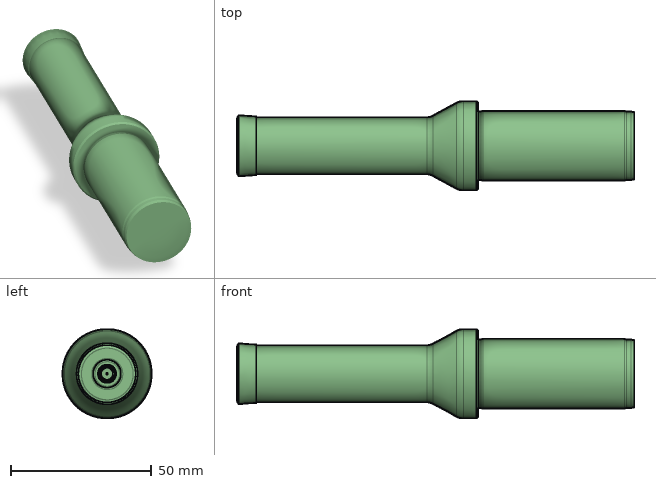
import cadquery as cq
import math

TOTAL_LENGTH = 142.0

HEAD_LENGTH = 7.0
HEAD_FACE_RADIUS = 9.2
HEAD_RIM_RADIUS = 10.2
HEAD_RIM_X = 0.3
HEAD_FRONT_RADIUS = 11.0
HEAD_FRONT_X = 0.9
HEAD_REAR_RADIUS = 10.5

GROOVE_OUTER_RADIUS = 5.5
GROOVE_INNER_RADIUS = 4.4
GROOVE_DEPTH = 0.1
RECESS_STEP_RADII = (3.3, 2.7, 2.1)
RECESS_STEP_DEPTH = 0.1
CENTRE_HOLE_RADIUS = 0.3
CENTRE_HOLE_DEPTH = 0.7

NECK_RADIUS = 20.5 / 2
FLARE_START = 67.9
FLARE_ANGLE = math.radians(28.5)
FLARE_BLEND_RADIUS = 4.5
COLLAR_RADIUS = 32.0 / 2
COLLAR_BLEND_RADIUS = 5.1
COLLAR_END = 86.2
COLLAR_CHAMFER = 0.5

RELIEF_RADIUS = 24.5 / 2
RELIEF_LENGTH = 1.0
RELIEF_TAPER_LENGTH = 0.7
SHANK_RADIUS = 25.0 / 2
SHANK_END = 138.3
TAIL_RADIUS = RELIEF_RADIUS
TAIL_STEP_LENGTH = 0.9
TAIL_CHAMFER_LENGTH = 1.3
TAIL_CHAMFER_DEPTH = 0.3


def turn(profile):
    """Revolve a closed (x, radius) profile in the XY plane about the X axis."""
    return profile.close().revolve(360, (0, 0, 0), (1, 0, 0))


def make_blank():
    """Head with a shallow front bevel, a lead chamfer and a slight back taper."""
    return turn(
        cq.Workplane("XY")
        .lineTo(0, HEAD_FACE_RADIUS)
        .lineTo(HEAD_RIM_X, HEAD_RIM_RADIUS)
        .lineTo(HEAD_FRONT_X, HEAD_FRONT_RADIUS)
        .lineTo(HEAD_LENGTH, HEAD_REAR_RADIUS)
        .lineTo(HEAD_LENGTH, 0)
    )


def make_groove():
    """V-shaped ring cutter."""
    return turn(
        cq.Workplane("XY")
        .moveTo(0, GROOVE_INNER_RADIUS)
        .lineTo(GROOVE_DEPTH, (GROOVE_INNER_RADIUS + GROOVE_OUTER_RADIUS) / 2)
        .lineTo(0, GROOVE_OUTER_RADIUS)
    )


def make_face_disc(radius, depth):
    """Disc that starts at the head face and goes into the head."""
    return cq.Workplane("YZ").circle(radius).extrude(depth)


def make_head():
    body = make_blank().cut(make_groove())
    for step, radius in enumerate(RECESS_STEP_RADII, start=1):
        body = body.cut(make_face_disc(radius, step * RECESS_STEP_DEPTH))
    return body.cut(make_face_disc(CENTRE_HOLE_RADIUS, CENTRE_HOLE_DEPTH))


def add_flare(profile):
    """Neck to collar: a straight cone with a tangent arc at each end."""
    sine = math.sin(FLARE_ANGLE)
    cosine = math.cos(FLARE_ANGLE)
    half_sine = math.sin(FLARE_ANGLE / 2)
    half_cosine = math.cos(FLARE_ANGLE / 2)

    cone_start_x = FLARE_START + FLARE_BLEND_RADIUS * sine
    cone_start_radius = NECK_RADIUS + FLARE_BLEND_RADIUS * (1 - cosine)
    cone_end_radius = COLLAR_RADIUS - COLLAR_BLEND_RADIUS * (1 - cosine)
    cone_end_x = cone_start_x + (cone_end_radius - cone_start_radius) / math.tan(FLARE_ANGLE)
    collar_start = cone_end_x + COLLAR_BLEND_RADIUS * sine

    neck_blend_middle = (
        FLARE_START + FLARE_BLEND_RADIUS * half_sine,
        NECK_RADIUS + FLARE_BLEND_RADIUS * (1 - half_cosine),
    )
    collar_blend_middle = (
        collar_start - COLLAR_BLEND_RADIUS * half_sine,
        COLLAR_RADIUS - COLLAR_BLEND_RADIUS * (1 - half_cosine),
    )
    return (
        profile.lineTo(FLARE_START, NECK_RADIUS)
        .threePointArc(neck_blend_middle, (cone_start_x, cone_start_radius))
        .lineTo(cone_end_x, cone_end_radius)
        .threePointArc(collar_blend_middle, (collar_start, COLLAR_RADIUS))
    )


def add_collar_back(profile):
    return (
        profile.lineTo(COLLAR_END - COLLAR_CHAMFER, COLLAR_RADIUS)
        .lineTo(COLLAR_END, COLLAR_RADIUS - COLLAR_CHAMFER)
        .lineTo(COLLAR_END, RELIEF_RADIUS)
    )


def add_shank(profile):
    relief_end = COLLAR_END + RELIEF_LENGTH
    return (
        profile.lineTo(relief_end, RELIEF_RADIUS)
        .lineTo(relief_end + RELIEF_TAPER_LENGTH, SHANK_RADIUS)
        .lineTo(SHANK_END, SHANK_RADIUS)
        .lineTo(SHANK_END + TAIL_STEP_LENGTH, TAIL_RADIUS)
        .lineTo(TOTAL_LENGTH - TAIL_CHAMFER_LENGTH, TAIL_RADIUS)
        .lineTo(TOTAL_LENGTH, TAIL_RADIUS - TAIL_CHAMFER_DEPTH)
        .lineTo(TOTAL_LENGTH, 0)
    )


def make_holder():
    profile = cq.Workplane("XY").moveTo(HEAD_LENGTH, 0).lineTo(HEAD_LENGTH, NECK_RADIUS)
    profile = add_flare(profile)
    profile = add_collar_back(profile)
    profile = add_shank(profile)
    return turn(profile)


head = make_head()
holder = make_holder()

result = cq.Compound.makeCompound([head.val(), holder.val()])